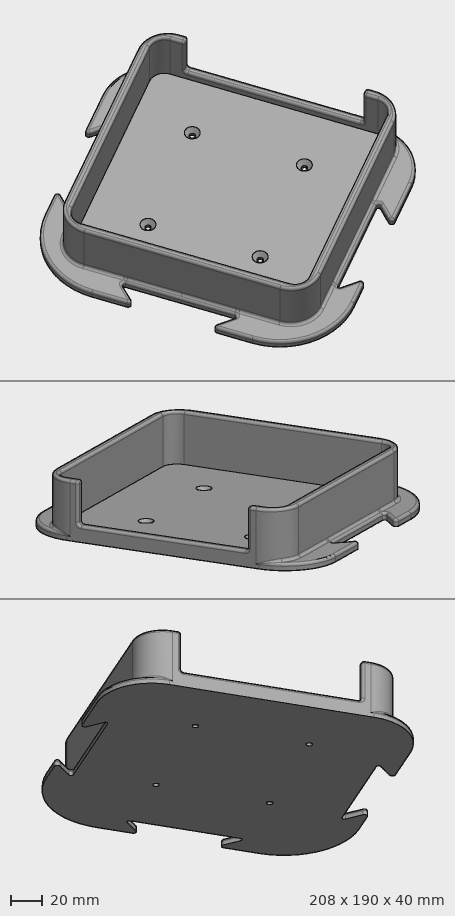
import cadquery as cq

box_width = 172.0
box_height = 40.0
box_corner_radius = 20.0
wall_thickness = 6.0
inner_corner_radius = 10.0
floor_thickness = 5.0

opening_width = 120.0
sill_height = 11.0

flange_reach = 18.0
plate_thickness = 5.0
front_corner_radius = 50.0
back_corner_radius = 36.0

slot_depth = 14.8
side_mouth_width = 47.0
front_mouth_width = 51.0
slot_root_radius = 1.5
slot_tip_radius = 2.0

edge_radius = 2.0

hole_diameter = 4.0
countersink_diameter = 10.0
countersink_angle = 90.0
left_hole_x = -40.0
right_hole_x = 35.5
hole_y = 40.0

box_half = box_width / 2
inner_width = box_width - 2 * wall_thickness
inner_half = inner_width / 2
plate_half = box_half + flange_reach
plate_length = box_half + plate_half
plate_center_y = box_half - plate_length / 2


def edges_near(body, points):
    """The edges of the body whose middles are closest to the given points."""
    chosen = [body.edges(cq.NearestToPointSelector(point)).val() for point in points]
    return body.newObject(chosen)


def rounded_block(width, corner_radius, bottom, top):
    """Square block centred on the Z axis with rounded upright edges."""
    block = cq.Workplane("XY").workplane(offset=bottom).rect(width, width).extrude(top - bottom)
    return block.edges("|Z").fillet(corner_radius)


def make_box():
    """Open tray with a lowered back wall and a rim rounded on both sides."""
    box = rounded_block(box_width, box_corner_radius, 0, box_height)
    box = box.cut(rounded_block(inner_width, inner_corner_radius, floor_thickness, box_height))

    back_wall_y = (box_half + inner_half) / 2
    opening = (
        cq.Workplane("XY")
        .box(opening_width, 2 * wall_thickness, box_height, centered=(True, True, False))
        .edges("|Y and <Z")
        .fillet(edge_radius)
        .translate((0, back_wall_y, sill_height))
    )
    box = box.cut(opening)

    opening_half = opening_width / 2
    wall_ends = [(x, back_wall_y, box_height) for x in (-opening_half, opening_half)]
    box = edges_near(box, wall_ends).fillet(edge_radius)

    sill_edges = [(0, y, sill_height) for y in (inner_half, box_half)]
    return edges_near(box, sill_edges).fillet(edge_radius)


def dovetail(mouth_width):
    """Slot cutter with its mouth on the X axis, widening towards +Y."""
    mouth_half = mouth_width / 2
    root_half = mouth_half + slot_depth
    outline = [
        (-mouth_half, 0),
        (mouth_half, 0),
        (root_half, slot_depth),
        (-root_half, slot_depth),
    ]
    cutter = cq.Workplane("XY").polyline(outline).close().extrude(plate_thickness)
    return cutter.edges("|Z and >Y").fillet(slot_root_radius)


def make_plate():
    """Base plate with three dovetail slots and a rounded top edge."""
    plate = (
        cq.Workplane("XY")
        .center(0, plate_center_y)
        .rect(2 * plate_half, plate_length)
        .extrude(plate_thickness)
    )
    plate = plate.edges("|Z and <Y").fillet(front_corner_radius)
    plate = plate.edges("|Z and >Y").fillet(back_corner_radius)

    slots = [
        (front_mouth_width, 0, (0, -plate_half, 0)),
        (side_mouth_width, -90, (-plate_half, plate_center_y, 0)),
        (side_mouth_width, 90, (plate_half, plate_center_y, 0)),
    ]
    for mouth_width, angle, mouth_center in slots:
        cutter = dovetail(mouth_width).rotate((0, 0, 0), (0, 0, 1), angle)
        plate = plate.cut(cutter.translate(mouth_center))

    tips = []
    for side in (-1, 1):
        tips.append((side * front_mouth_width / 2, -plate_half, plate_thickness / 2))
        for end in (-1, 1):
            tip_y = plate_center_y + end * side_mouth_width / 2
            tips.append((side * plate_half, tip_y, plate_thickness / 2))
    plate = edges_near(plate, tips).fillet(slot_tip_radius)

    return plate.faces(">Z").edges("not >Y").fillet(edge_radius)


def join_box_and_plate():
    """Unite box and plate and blend the outer wall into the plate."""
    body = make_box().union(make_plate())

    cutter_size = 2 * plate_length
    left_space = cq.Workplane("XY").box(cutter_size, cutter_size, cutter_size)
    left_half = body.intersect(left_space.translate((-cutter_size / 2, 0, 0)))
    wall_root = [(-box_half, 0, plate_thickness)]
    left_half = edges_near(left_half, wall_root).fillet(edge_radius)
    return left_half.union(left_half.mirror("YZ"))


def drill_screw_holes(body):
    """Countersunk through holes, sunk from the tray floor."""
    hole_points = [(x, y) for x in (left_hole_x, right_hole_x) for y in (-hole_y, hole_y)]
    return (
        body.copyWorkplane(cq.Workplane("XY", origin=(0, 0, floor_thickness)))
        .pushPoints(hole_points)
        .cskHole(hole_diameter, countersink_diameter, countersink_angle)
    )


result = drill_screw_holes(join_box_and_plate())